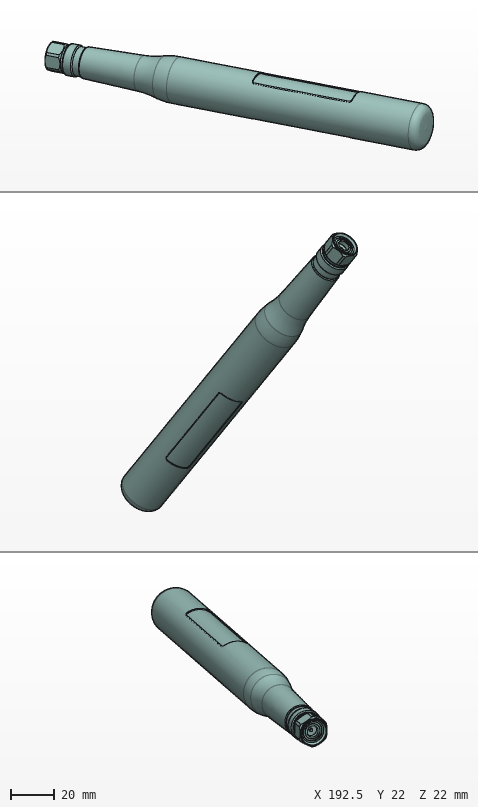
import cadquery as cq
import math

LENGTH = 192.5
BODY_RADIUS = 11.0
ALONG_BODY = (1, 0)
END_ROUND_START = 188.2
END_SHOULDER = (191.5, 9.2)
END_TIP_DIRECTION = (0.1, -1)

HEX_LENGTH = 7.9
HEX_ACROSS_FLATS = 13.3
HEX_CORNER_RADIUS = 7.3
HEX_CHAMFER = 0.8

NECK_RADIUS = 6.4
COLLAR_START = 9.0
COLLAR_END = 14.2
COLLAR_RADIUS = 7.5
COLLAR_CHAMFER = 0.5
GROOVE_RADIUS = 7.0

GRIP_START = 17.5
GRIP_START_RADIUS = 7.1
TAPER_START = 18.0
TAPER_START_RADIUS = 7.5
TAPER_END = 46.5
TAPER_END_RADIUS = 8.5
FLARE_MIDDLE = 57.0
FLARE_MIDDLE_RADIUS = 10.2
FLARE_END = 64.5

MOUTH_RADIUS = 6.2
MOUTH_FLOOR_RADIUS = 5.4
MOUTH_DEPTH = 1.2
RING_GROOVE_OUTER = 4.6
RING_GROOVE_INNER = 3.7
RING_GROOVE_DEPTH = 0.5
SOCKET_RADIUS = 2.7
SOCKET_DEPTH = 2.3
HOLE_RADIUS = 0.8
HOLE_DEPTH = 2.0

RECESS_START = 105.9
RECESS_END = 156.7
RECESS_WIDTH = 12.3
RECESS_DEPTH = 0.5
RECESS_CORNER = 1.2


def disc(start, length, radius):
    return cq.Workplane("YZ").workplane(offset=start).circle(radius).extrude(length)


def make_body():
    taper_angle = math.atan2(TAPER_END_RADIUS - TAPER_START_RADIUS, TAPER_END - TAPER_START)
    chord_angle = math.atan2(FLARE_MIDDLE_RADIUS - TAPER_END_RADIUS, FLARE_MIDDLE - TAPER_END)
    flare_angle = 2 * chord_angle - taper_angle
    flare_direction = (math.cos(flare_angle), math.sin(flare_angle))
    return (
        cq.Workplane("XZ")
        .moveTo(HEX_LENGTH, 0)
        .lineTo(HEX_LENGTH, NECK_RADIUS)
        .lineTo(COLLAR_START, NECK_RADIUS)
        .lineTo(COLLAR_START, COLLAR_RADIUS - COLLAR_CHAMFER)
        .lineTo(COLLAR_START + COLLAR_CHAMFER, COLLAR_RADIUS)
        .lineTo(COLLAR_END - COLLAR_CHAMFER, COLLAR_RADIUS)
        .lineTo(COLLAR_END, GROOVE_RADIUS)
        .lineTo(GRIP_START, GROOVE_RADIUS)
        .lineTo(GRIP_START, GRIP_START_RADIUS)
        .lineTo(TAPER_START, TAPER_START_RADIUS)
        .lineTo(TAPER_END, TAPER_END_RADIUS)
        .tangentArcPoint((FLARE_MIDDLE, FLARE_MIDDLE_RADIUS), relative=False)
        .spline([(FLARE_END, BODY_RADIUS)], tangents=[flare_direction, ALONG_BODY], includeCurrent=True)
        .lineTo(END_ROUND_START, BODY_RADIUS)
        .spline([END_SHOULDER, (LENGTH, 0)], tangents=[ALONG_BODY, END_TIP_DIRECTION], includeCurrent=True)
        .close()
        .revolve(360, (0, 0, 0), (1, 0, 0))
    )


def make_nose():
    across_corners = HEX_ACROSS_FLATS / math.cos(math.pi / 6)
    hexagon = (
        cq.Workplane("YZ")
        .transformed(rotate=(0, 0, 90))
        .polygon(6, across_corners)
        .extrude(HEX_LENGTH)
    )
    envelope = disc(0, HEX_LENGTH, HEX_CORNER_RADIUS).edges().chamfer(HEX_CHAMFER)
    return hexagon.intersect(envelope)


def make_socket():
    mouth = (
        cq.Workplane("YZ")
        .circle(MOUTH_RADIUS)
        .workplane(offset=MOUTH_DEPTH)
        .circle(MOUTH_FLOOR_RADIUS)
        .loft()
    )
    ring = disc(MOUTH_DEPTH, RING_GROOVE_DEPTH, RING_GROOVE_OUTER).cut(
        disc(MOUTH_DEPTH, RING_GROOVE_DEPTH, RING_GROOVE_INNER)
    )
    socket = disc(MOUTH_DEPTH, SOCKET_DEPTH, SOCKET_RADIUS)
    hole = disc(MOUTH_DEPTH + SOCKET_DEPTH, HOLE_DEPTH, HOLE_RADIUS)
    return mouth.union(ring).union(socket).union(hole)


def make_recess():
    middle = (RECESS_START + RECESS_END) / 2
    outline = (
        cq.Workplane("XY")
        .center(middle, 0)
        .rect(RECESS_END - RECESS_START, RECESS_WIDTH)
        .extrude(BODY_RADIUS, both=True)
        .edges("|Z")
        .fillet(RECESS_CORNER)
    )
    return outline.cut(disc(0, LENGTH, BODY_RADIUS - RECESS_DEPTH))


nose = make_nose().cut(make_socket())
result = make_body().cut(make_recess()).union(nose)